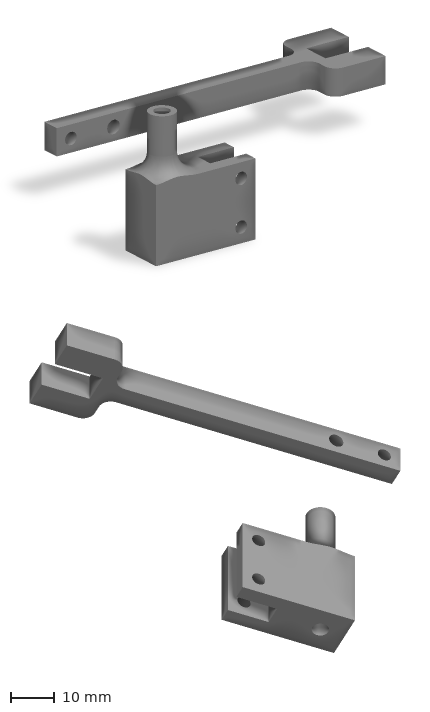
import cadquery as cq

overall_x = 60.5
overall_y = 93.0

fork_width = 21.3
fork_length = 15.0
fork_slot_width = 7.5
fork_slot_depth = 12.0
arm_length = 86.8
arm_width = 4.8
arm_thickness = 7.0
arm_bottom = 10.0
fork_radius = 3.0
arm_end_hole_diameter = 3.3
arm_inner_hole_diameter = 3.5

block_width = 12.0
block_length = 28.0
block_height = 20.0
clevis_slot_width = 4.8
clevis_slot_depth = 10.1
clevis_hole_diameter = 3.3

hole_edge_distance = 4.0
arm_hole_spacing = 12.0

total_height = 35.0
tube_diameter = 6.9
tube_axis_y = block_width / 2
flare_radius = 5.0
bore_diameter = 4.0

arm_axis_x = fork_width / 2
arm_end_y = overall_y - arm_length
fork_base_y = overall_y - fork_length
block_axis_x = overall_x - block_width / 2
block_left_x = overall_x - block_width


def cross_hole(diameter, start_x, length, y, z):
    """Cylinder along +X used to drill across a body."""
    return cq.Workplane(
        cq.Solid.makeCylinder(diameter / 2, length, cq.Vector(start_x, y, z), cq.Vector(1, 0, 0))
    )


def make_forked_arm():
    """Slender arm ending in a two-pronged fork at the rear."""
    fork = (
        cq.Workplane("XY", origin=(arm_axis_x, overall_y - fork_length / 2, arm_bottom))
        .rect(fork_width, fork_length)
        .extrude(arm_thickness)
    )
    shank = (
        cq.Workplane("XY", origin=(arm_axis_x, (arm_end_y + fork_base_y) / 2, arm_bottom))
        .rect(arm_width, fork_base_y - arm_end_y)
        .extrude(arm_thickness)
    )
    arm = fork.union(shank)

    margin = fork_radius / 2
    rounded_edges = cq.selectors.BoxSelector(
        (-margin, fork_base_y - margin, 0),
        (fork_width + margin, fork_base_y + margin, total_height),
    )
    arm = arm.edges("|Z").edges(rounded_edges).fillet(fork_radius)

    slot = (
        cq.Workplane("XY", origin=(arm_axis_x, overall_y - fork_slot_depth / 2, arm_bottom))
        .rect(fork_slot_width, fork_slot_depth)
        .extrude(arm_thickness)
    )
    arm = arm.cut(slot)

    end_hole_y = arm_end_y + hole_edge_distance
    hole_z = arm_bottom + arm_thickness / 2
    arm = arm.cut(cross_hole(arm_end_hole_diameter, 0, fork_width, end_hole_y, hole_z))
    return arm.cut(
        cross_hole(arm_inner_hole_diameter, 0, fork_width, end_hole_y + arm_hole_spacing, hole_z)
    )


def make_flared_tube():
    """Solid tube blank whose foot flares out tangent to the top of the block."""
    tube_radius = tube_diameter / 2
    flare_top = block_height + flare_radius
    blank = (
        cq.Workplane("XZ")
        .moveTo(0, 0)
        .lineTo(tube_radius + flare_radius, 0)
        .lineTo(tube_radius + flare_radius, block_height)
        .radiusArc((tube_radius, flare_top), flare_radius)
        .lineTo(tube_radius, total_height)
        .lineTo(0, total_height)
        .close()
        .revolve(360, (0, 0, 0), (0, 1, 0))
    )
    return blank.translate((block_axis_x, tube_axis_y, 0))


def make_tube_block():
    """Clevis block carrying a flared tube with a through bore."""
    footprint_center = cq.Workplane("XY", origin=(block_axis_x, block_length / 2, 0))
    block = footprint_center.rect(block_width, block_length).extrude(block_height)

    trim = footprint_center.rect(block_width, block_length).extrude(total_height)
    block = block.union(make_flared_tube().intersect(trim))

    slot = (
        cq.Workplane("XY", origin=(block_axis_x, block_length - clevis_slot_depth / 2, 0))
        .rect(clevis_slot_width, clevis_slot_depth)
        .extrude(block_height)
    )
    block = block.cut(slot)

    hole_y = block_length - hole_edge_distance
    for hole_z in (hole_edge_distance, block_height - hole_edge_distance):
        block = block.cut(cross_hole(clevis_hole_diameter, block_left_x, block_width, hole_y, hole_z))

    bore = (
        cq.Workplane("XY", origin=(block_axis_x, tube_axis_y, 0))
        .circle(bore_diameter / 2)
        .extrude(total_height)
    )
    return block.cut(bore)


forked_arm = make_forked_arm()
tube_block = make_tube_block()

result = cq.Compound.makeCompound([forked_arm.solids().val(), tube_block.solids().val()])